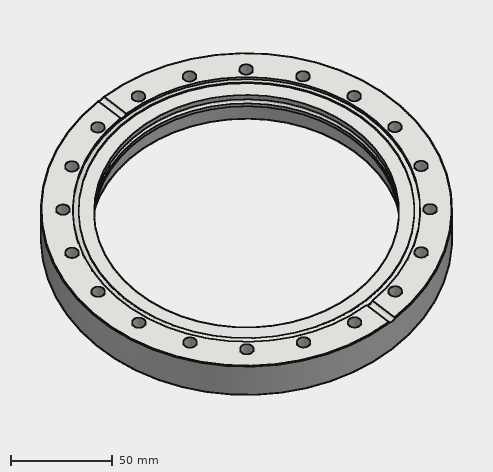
import cadquery as cq
import math

flange_diameter = 203.0
thickness = 22.0
edge_chamfer = 0.5

recess_diameter = 171.3
knife_tip_diameter = 165.6
knife_tip_depth = 0.6
knife_slope = 20.0
inner_face_depth = 1.32

bore_diameter = 150.5
socket_diameter = 154.5
socket_depth = 10.0
relief_top_depth = 4.7
relief_radius = 1.52

bolt_count = 20
bolt_circle_diameter = 181.0
bolt_hole_diameter = 6.7

leak_groove_width = 4.0
leak_groove_depth = 0.91
leak_groove_overlap = 0.5


def make_ring():
    """Revolve the flange section with its knife edge, relief groove and socket."""
    outer = flange_diameter / 2
    recess = recess_diameter / 2
    tip = knife_tip_diameter / 2
    bore = bore_diameter / 2
    socket = socket_diameter / 2
    root_depth = knife_tip_depth + (recess - tip) * math.tan(math.radians(knife_slope))
    relief_top = thickness - relief_top_depth
    socket_top = thickness - socket_depth
    inner_face = thickness - inner_face_depth
    return (
        cq.Workplane("XZ")
        .moveTo(socket, 0)
        .lineTo(outer, 0)
        .lineTo(outer, thickness - edge_chamfer)
        .lineTo(outer - edge_chamfer, thickness)
        .lineTo(recess, thickness)
        .lineTo(recess, thickness - root_depth)
        .lineTo(tip, thickness - knife_tip_depth)
        .lineTo(tip, inner_face)
        .lineTo(bore, inner_face)
        .lineTo(bore, relief_top)
        .threePointArc(
            (bore + relief_radius, relief_top - relief_radius),
            (bore, relief_top - 2 * relief_radius),
        )
        .lineTo(bore, socket_top)
        .lineTo(socket, socket_top)
        .close()
        .revolve(360, (0, 0, 0), (0, 1, 0))
    )


def make_bolt_holes():
    """Through holes straddling the X and Y axes by half a pitch."""
    half_pitch = 180 / bolt_count
    return (
        cq.Workplane("XY")
        .polarArray(bolt_circle_diameter / 2, half_pitch, 360, bolt_count)
        .circle(bolt_hole_diameter / 2)
        .extrude(thickness)
    )


def make_leak_groove(side):
    """Round-bottomed radial groove from the recess to the rim; side is +1 or -1 along X."""
    half_width = leak_groove_width / 2
    radius = (half_width**2 + leak_groove_depth**2) / (2 * leak_groove_depth)
    inner_end = recess_diameter / 2 - leak_groove_overlap
    length = flange_diameter / 2 - inner_end
    return (
        cq.Workplane("YZ", origin=(side * inner_end, 0, 0))
        .center(0, thickness - leak_groove_depth + radius)
        .circle(radius)
        .extrude(side * length)
    )


result = make_ring().cut(make_bolt_holes())
for side in (-1, 1):
    result = result.cut(make_leak_groove(side))